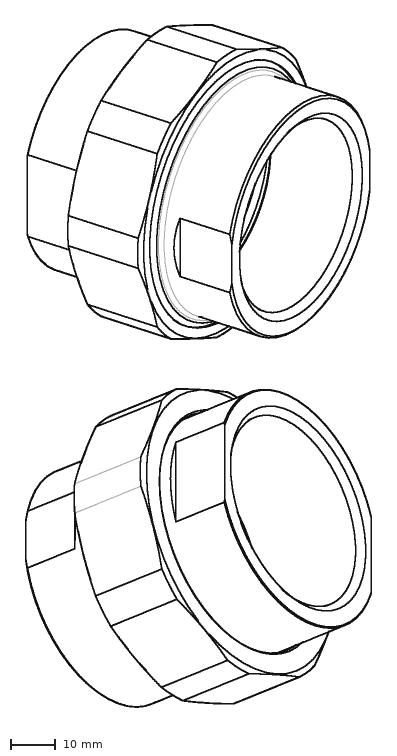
import cadquery as cq
import math


total_length = 56.0
pipe_radius = 56.0 / 2
bore_radius = 44.9 / 2
bore_chamfer = 1.6
joint_x = 29.35

nut_start = 16.5
nut_end = 36.5
nut_corner_radius = 34.85
nut_flat_distance = 33.45
nut_chamfer_radius = 33.3
nut_chamfer_length = 0.55
nut_sides = 8
lip_end = nut_start + 7.0
lip_radius = 56.5 / 2
lip_chamfer = 0.4
thread_radius = 61.9 / 2

flange_radius = 60.0 / 2
tail_chamfer = 0.2
tail_flat_distance = 26.05
tail_flat_length = 13.95

collar_end = 37.4
collar_chamfer = 1.4
collar_fillet = 0.9
seal_radius = 51.55 / 2
seal_end = 31.9
seal_chamfer = 0.5
socket_chamfer = 0.55
socket_flat_distance = 27.05
socket_flat_length = 14.0


def revolve_about_x(points):
    """Revolve a closed (x, radius) outline about the X axis."""
    return cq.Workplane("XY").polyline(points).close().revolve(360, (0, 0, 0), (1, 0, 0))


def flat_cutters(outline):
    """Mirrored pair of cutters that mill flats on the -Y and +Y sides from an (x, y) outline."""
    cutter = cq.Workplane("XY").polyline(outline).close().extrude(pipe_radius, both=True)
    return cutter, cutter.mirror("XZ")


def make_tailpiece():
    body = revolve_about_x([
        (0, bore_radius + bore_chamfer),
        (0, pipe_radius - tail_chamfer),
        (tail_chamfer, pipe_radius),
        (lip_end, pipe_radius),
        (lip_end, flange_radius),
        (joint_x, flange_radius),
        (joint_x, bore_radius),
        (bore_chamfer, bore_radius),
    ])
    flat_outline = [
        (0, tail_flat_distance),
        (tail_flat_length, tail_flat_distance),
        (tail_flat_length, pipe_radius),
        (0, pipe_radius),
    ]
    for cutter in flat_cutters(flat_outline):
        body = body.cut(cutter)
    return body


def make_socket():
    fillet_centre_x = collar_end + collar_fillet
    fillet_centre_radius = pipe_radius + collar_fillet
    fillet_middle = (
        fillet_centre_x - collar_fillet * math.sqrt(0.5),
        fillet_centre_radius - collar_fillet * math.sqrt(0.5),
    )
    body = (
        cq.Workplane("XY")
        .moveTo(joint_x, seal_radius)
        .lineTo(joint_x, thread_radius)
        .lineTo(collar_end - collar_chamfer, thread_radius)
        .lineTo(collar_end, thread_radius - collar_chamfer)
        .lineTo(collar_end, fillet_centre_radius)
        .threePointArc(fillet_middle, (fillet_centre_x, pipe_radius))
        .lineTo(total_length - socket_chamfer, pipe_radius)
        .lineTo(total_length, pipe_radius - socket_chamfer)
        .lineTo(total_length, bore_radius + bore_chamfer)
        .lineTo(total_length - bore_chamfer, bore_radius)
        .lineTo(seal_end + seal_chamfer, bore_radius)
        .lineTo(seal_end, bore_radius + seal_chamfer)
        .lineTo(seal_end, seal_radius)
        .close()
        .revolve(360, (0, 0, 0), (1, 0, 0))
    )
    flat_start = total_length - socket_flat_length
    flat_depth = pipe_radius - socket_flat_distance
    flat_outline = [
        (flat_start, socket_flat_distance),
        (total_length, socket_flat_distance),
        (total_length, pipe_radius),
        (flat_start - flat_depth, pipe_radius),
    ]
    for cutter in flat_cutters(flat_outline):
        body = body.cut(cutter)
    return body


def make_nut():
    blank = revolve_about_x([
        (nut_start, lip_radius + lip_chamfer),
        (nut_start, nut_chamfer_radius),
        (nut_start + nut_chamfer_length, nut_corner_radius),
        (nut_end - nut_chamfer_length, nut_corner_radius),
        (nut_end, nut_chamfer_radius),
        (nut_end, thread_radius),
        (lip_end, thread_radius),
        (lip_end, lip_radius),
        (nut_start + lip_chamfer, lip_radius),
    ])
    half_side_angle = math.pi / nut_sides
    octagon = (
        cq.Workplane("YZ", origin=(nut_start, 0, 0))
        .polygon(nut_sides, 2 * nut_flat_distance / math.cos(half_side_angle))
        .extrude(nut_end - nut_start)
    )
    return blank.intersect(octagon)


tailpiece = make_tailpiece()
socket = make_socket()
nut = make_nut()

result = cq.Compound.makeCompound([tailpiece.val(), socket.val(), nut.val()])